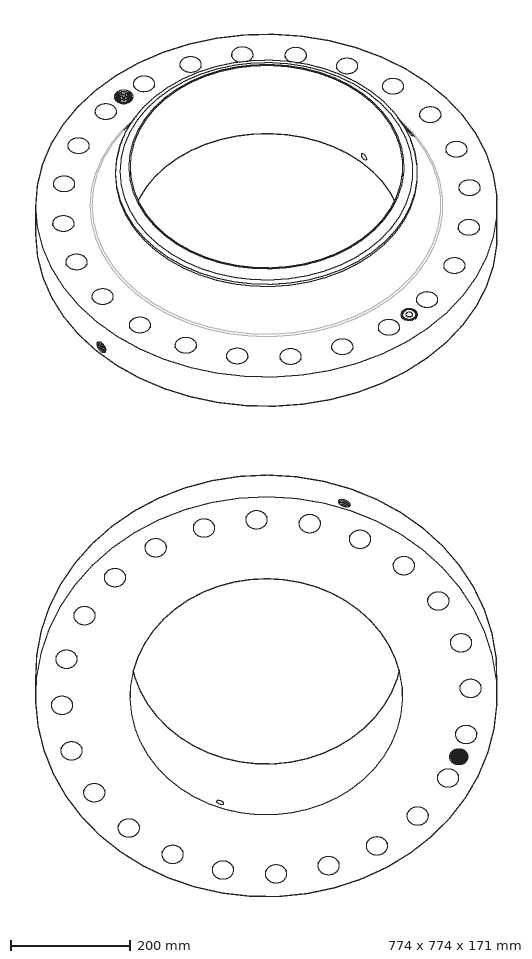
import cadquery as cq

flange_radius = 387.0
flange_height = 73.5
bore_radius = 228.5

total_height = 171.0
hub_base_radius = 293.5
hub_base_fillet = 4.0
hub_top_radius = 253.0
hub_top_height = 152.0
weld_land_height = 157.0
weld_step_radius = 245.5
weld_step_height = 159.5
weld_tip_radius = 231.0

bolt_circle_radius = 343.0
bolt_count = 24
bolt_hole_diameter = 36.0

jack_minor_diameter = 27.0
jack_major_diameter = 31.0
jack_thread_count = 19

plug_diameter = 27.0
plug_groove_width = 2.0
plug_groove_depth = 2.0
plug_socket_diameter = 11.0
plug_socket_depth = 12.0

tap_height = 18.5
tap_bore_diameter = 12.5
tap_minor_diameter = 18.0
tap_major_diameter = 22.0
tap_thread_depth = 31.0
tap_thread_count = 10


def make_body():
    """Revolve the half section of the weld-neck flange about Z."""
    section = [
        (bore_radius, 0),
        (flange_radius, 0),
        (flange_radius, flange_height),
        (hub_base_radius, flange_height),
        (hub_top_radius, hub_top_height),
        (hub_top_radius, weld_land_height),
        (weld_step_radius, weld_step_height),
        (weld_tip_radius, total_height),
        (bore_radius, total_height),
    ]
    body = cq.Workplane("XZ").polyline(section).close().revolve(360, (0, 0), (0, 1))
    hub_base = cq.selectors.RadiusNthSelector(-2)
    return body.edges("%CIRCLE").edges(hub_base).fillet(hub_base_fillet)


def thread_cutter(mouth, inward, minor_diameter, major_diameter, depth, count):
    """Cutter for a threaded hole: V-shaped ring grooves stacked from the mouth inward."""
    minor_radius = minor_diameter / 2
    major_radius = major_diameter / 2
    pitch = depth / count
    outline = [(0, 0), (major_radius, 0)]
    for turn in range(count):
        outline.append((minor_radius, (turn + 0.5) * pitch))
        outline.append((major_radius, (turn + 1) * pitch))
    outline.append((0, depth))

    across = cq.Vector(1, 0, 0)
    plane = cq.Plane(origin=mouth, xDir=across, normal=across.cross(cq.Vector(*inward)))
    return cq.Workplane(plane).polyline(outline).close().revolve(360, (0, 0), (0, 1))


def cut_bolt_holes(body):
    """Cut the bolt holes, which straddle the X and Y axes."""
    pitch_angle = 360 / bolt_count
    holes = (
        cq.Workplane("XY")
        .polarArray(bolt_circle_radius, pitch_angle / 2, 360, bolt_count)
        .circle(bolt_hole_diameter / 2)
        .extrude(flange_height)
    )
    return body.cut(holes)


def cut_jack_hole(body):
    """Cut the threaded through hole on -X."""
    mouth = (-bolt_circle_radius, 0, flange_height)
    thread = thread_cutter(
        mouth, (0, 0, -1), jack_minor_diameter, jack_major_diameter, flange_height, jack_thread_count
    )
    return body.cut(thread)


def cut_plug(body):
    """Cut the ring groove around the flush plug on +X and its central socket."""
    top = cq.Workplane("XY", origin=(bolt_circle_radius, 0, flange_height))
    groove = (
        top.circle(plug_diameter / 2)
        .circle(plug_diameter / 2 - plug_groove_width)
        .extrude(-plug_groove_depth)
    )
    socket = top.circle(plug_socket_diameter / 2).extrude(-plug_socket_depth)
    return body.cut(groove).cut(socket)


def cut_pressure_taps(body):
    """Cut a bore along Y through both walls, and a threaded mouth at each end."""
    bore = (
        cq.Workplane("XZ", origin=(0, 0, tap_height))
        .circle(tap_bore_diameter / 2)
        .extrude(flange_radius, both=True)
    )
    body = body.cut(bore)
    for side in (-1, 1):
        mouth = (0, side * flange_radius, tap_height)
        thread = thread_cutter(
            mouth, (0, -side, 0), tap_minor_diameter, tap_major_diameter, tap_thread_depth, tap_thread_count
        )
        body = body.cut(thread)
    return body


result = make_body()
result = cut_bolt_holes(result)
result = cut_jack_hole(result)
result = cut_plug(result)
result = cut_pressure_taps(result)